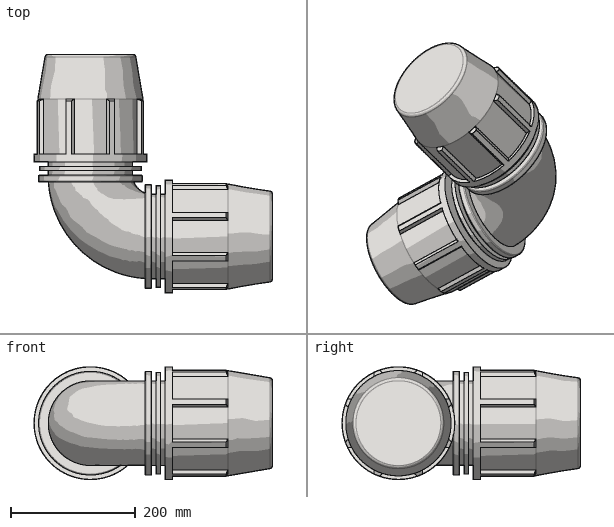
import cadquery as cq
flange_diameter = 181.0
overall_length = 382.5
flange_radius = flange_diameter / 2
arm_length = overall_length - flange_radius

tube_diameter = 135.8
tube_radius = tube_diameter / 2
collar_diameter = 166.5
collar_start = 87.5
collar_width = 10.7
collar_end = collar_start + collar_width
collar_fillet = 1.5
bend_radius = collar_end
ring_diameter = 163.5
ring_start = 105.5
ring_width = 7.0

flange_start = 119.7
flange_width = 12.2
flange_end = flange_start + flange_width
barrel_diameter = 169.0
barrel_radius = barrel_diameter / 2
barrel_end = 220.5
nose_tip_diameter = 144.5
nose_fillet = 5.0

rib_count = 8
rib_top_width = 9.0
rib_base_width = 14.0
rib_end = 217.5

clearance = 4.0


def collar():
    """Inner collar, rounded along both rims."""
    return (
        cq.Workplane("XY")
        .workplane(offset=collar_start)
        .circle(collar_diameter / 2)
        .extrude(collar_width)
        .edges()
        .fillet(collar_fillet)
    )


def turned_body():
    """Neck, ring, nut and nose, turned with the nut still full round, about the Z axis."""
    ring_radius = ring_diameter / 2
    ring_end = ring_start + ring_width
    return (
        cq.Workplane("XZ")
        .polyline([
            (0, collar_end),
            (tube_radius, collar_end),
            (tube_radius, ring_start),
            (ring_radius, ring_start),
            (ring_radius, ring_end),
            (tube_radius, ring_end),
            (tube_radius, flange_start),
            (flange_radius, flange_start),
            (flange_radius, rib_end),
            (barrel_radius, barrel_end),
            (nose_tip_diameter / 2, arm_length),
            (0, arm_length),
        ])
        .close()
        .revolve(360, (0, 0), (0, 1))
        .faces(">Z")
        .edges()
        .fillet(nose_fillet)
    )


def grip_panels():
    """Shell around the barrel with a gap of trapezoidal section left for each rib."""
    inner_radius = barrel_radius - clearance
    outer_radius = flange_radius + clearance
    flank_slope = (rib_base_width - rib_top_width) / 2 / (flange_radius - barrel_radius)
    inner_half_width = rib_base_width / 2 + flank_slope * clearance
    outer_half_width = rib_top_width / 2 - flank_slope * clearance
    length = barrel_end + clearance - flange_end
    panels = (
        cq.Workplane("XY")
        .workplane(offset=flange_end)
        .circle(outer_radius)
        .circle(barrel_radius)
        .extrude(length)
    )
    rib = (
        cq.Workplane("XY")
        .workplane(offset=flange_end - clearance)
        .polyline([
            (inner_radius, -inner_half_width),
            (outer_radius, -outer_half_width),
            (outer_radius, outer_half_width),
            (inner_radius, inner_half_width),
        ])
        .close()
        .extrude(length + 2 * clearance)
    )
    pitch = 360 / rib_count
    for index in range(rib_count):
        panels = panels.cut(rib.rotate((0, 0, 0), (0, 0, 1), (index + 0.5) * pitch))
    return panels


def arm():
    """One straight arm on the Z axis, from the end of the bend to the open end."""
    return turned_body().cut(grip_panels()).union(collar())


def bend():
    """Quarter bend joining the end of the X arm to the end of the Y arm."""
    return (
        cq.Workplane("YZ")
        .workplane(offset=bend_radius)
        .circle(tube_radius)
        .revolve(90, (bend_radius, 4), (bend_radius, 0))
    )


straight_arm = arm()
x_arm = straight_arm.rotate((0, 0, 0), (0, 1, 0), 90)
y_arm = straight_arm.rotate((0, 0, 0), (1, 0, 0), -90)
result = bend().union(x_arm).union(y_arm)